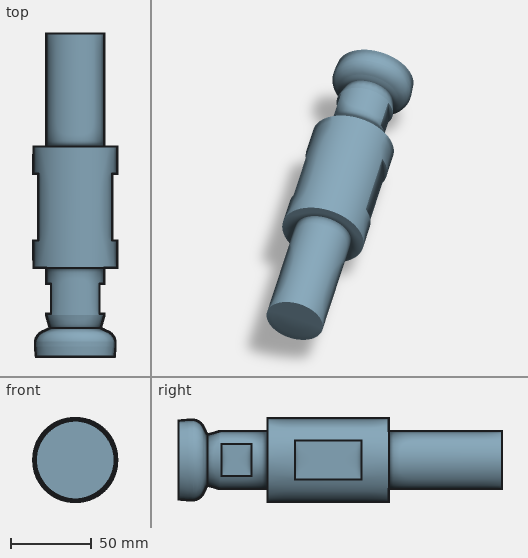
import cadquery as cq

total_length = 200.0

sleeve_radius = 26.0
sleeve_front = 55.0
sleeve_length = 75.0
sleeve_flat_length = 41.0
sleeve_across_flats = 46.0

shaft_radius = 18.0
shaft_front = 25.5
shaft_flat_front = 26.5
shaft_flat_length = 18.5
shaft_across_flats = 30.0

neck_radius = 15.8
neck_front = 17.8
head_radius = 25.0
head_face_radius = 24.5
head_rim_back = 6.2
head_crown_y = 9.2
head_shoulder_radius = 19.5
head_shoulder_y = 16.0
head_back_mid = (22.8, 13.8)


def cut_flats(body, body_radius, across_flats, front, length):
    """Cut two opposite flats, facing -X and +X, into a round body."""
    depth = body_radius - across_flats / 2
    for side in (-1, 1):
        cutter = cq.Workplane("XY").box(depth, length, 2 * body_radius)
        offset = side * (across_flats + depth) / 2
        body = body.cut(cutter.translate((offset, front + length / 2, 0)))
    return body


def make_sleeve():
    """Round sleeve with a through bore for the shaft and two wrench flats."""
    sleeve = (
        cq.Workplane("XZ", origin=(0, sleeve_front, 0))
        .circle(sleeve_radius)
        .circle(shaft_radius)
        .extrude(-sleeve_length)
    )
    flat_front = sleeve_front + (sleeve_length - sleeve_flat_length) / 2
    return cut_flats(sleeve, sleeve_radius, sleeve_across_flats, flat_front, sleeve_flat_length)


def make_plunger():
    """Shaft, tapered neck and rounded head turned as one body, with two shaft flats."""
    plunger = (
        cq.Workplane("XY")
        .lineTo(head_face_radius, 0)
        .lineTo(head_radius, head_rim_back)
        .lineTo(head_radius, head_crown_y)
        .threePointArc(head_back_mid, (head_shoulder_radius, head_shoulder_y))
        .lineTo(neck_radius, neck_front)
        .lineTo(shaft_radius, shaft_front)
        .lineTo(shaft_radius, total_length)
        .lineTo(0, total_length)
        .close()
        .revolve(360, (0, 0, 0), (0, 1, 0))
    )
    return cut_flats(plunger, shaft_radius, shaft_across_flats, shaft_flat_front, shaft_flat_length)


sleeve = make_sleeve()
plunger = make_plunger()

result = cq.Compound.makeCompound([sleeve.val(), plunger.val()])